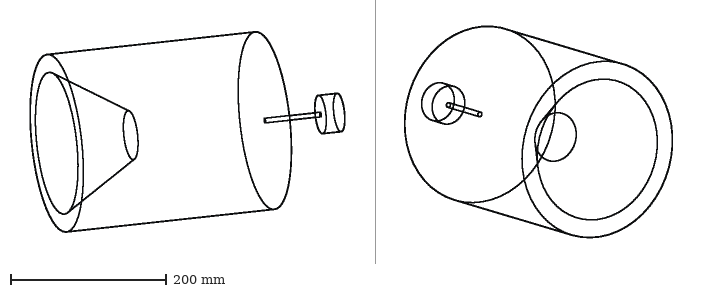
import cadquery as cq

total_length = 381.0
knob_length = 25.0
rod_length = 75.0
body_length = total_length - knob_length - rod_length

body_diameter = 230.0
mouth_diameter = 183.5
floor_diameter = 63.2
rod_diameter = 6.0
knob_diameter = 50.0

cavity_depth = 100.0


def cylinder_along_y(diameter, length, start_y):
    """Solid cylinder centred on the Y axis, extending toward +Y from start_y."""
    return cq.Workplane("XZ", origin=(0, start_y, 0)).circle(diameter / 2).extrude(-length)


def conical_cavity():
    """Truncated cone that narrows from the mouth at Y = 0 to a flat floor."""
    return (
        cq.Workplane("YZ")
        .lineTo(0, -mouth_diameter / 2)
        .lineTo(cavity_depth, -floor_diameter / 2)
        .lineTo(cavity_depth, 0)
        .close()
        .revolve(360, (0, 0, 0), (1, 0, 0))
    )


body = cylinder_along_y(body_diameter, body_length, 0).cut(conical_cavity())
rod = cylinder_along_y(rod_diameter, rod_length, body_length)
knob = cylinder_along_y(knob_diameter, knob_length, body_length + rod_length)

result = body.union(rod).union(knob)